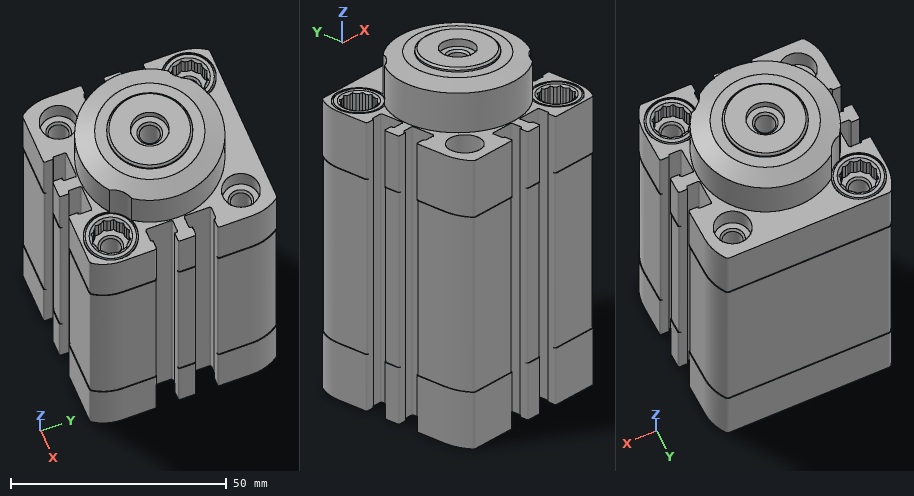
import cadquery as cq
import math

TOTAL_HEIGHT = 89.0
BODY_HEIGHT = 76.0
CAP_HEIGHT = 14.95
BARREL_HEIGHT = BODY_HEIGHT - 2 * CAP_HEIGHT

HALF_WIDTH = 23.5
BARREL_INSET = 0.2
SCREW_OFFSET = 16.3
SIDE_ARC_RADIUS = 12.0
CORNER_ROUND = 1.1

RIB_FOOT_HALF = 2.2
RIB_NECK_HALF = 1.4
LIP_OFFSET = 7.65
CHANNEL_WALL_OFFSET = 8.2
LIP_THICKNESS = 2.4
CHANNEL_FLOOR = 17.7
CHANNEL_ROUND = 0.45
CHANNEL_SIDES = (0, -90, 180)

SCREW_HOLE = 4.9
SCREW_HOLE_RIM = 6.0
COUNTERBORE = 9.0
COUNTERBORE_DEPTH = 5.1
SCREW_HEAD = 12.8
HEAD_BEVEL = 0.45
SOCKET_FLATS = 8.0
SOCKET_DRILL = 8.5
SOCKET_DEPTH = 5.1
SOCKET_RIM = 10.1
SOCKET_RIM_ANGLE = math.radians(30)
POINT_ANGLE = 30
HEXAGON_SIDES = 6

COLLAR_DIAMETER = 35.0
COLLAR_TOP_DIAMETER = 25.6
COLLAR_TOP = 88.0
COLLAR_EDGE = 86.4

ROD_DIAMETER = 20.0
ROD_BOTTOM = CAP_HEIGHT
ROD_CHAMFER = 0.5
ROD_RECESS_DEPTH = 2.0
ROD_HOLE_DEPTH = 14.2
DRILL_TIP_ANGLE = 118.0

SOCKET_CORNERS = [(-SCREW_OFFSET, SCREW_OFFSET), (SCREW_OFFSET, -SCREW_OFFSET)]
COUNTERBORE_CORNERS = [(-SCREW_OFFSET, -SCREW_OFFSET), (SCREW_OFFSET, SCREW_OFFSET)]


def body_block(inset, bottom, height):
    """Square block whose X sides curve in towards the Y faces."""
    half = HALF_WIDTH - inset
    radius = SIDE_ARC_RADIUS - inset
    arc_center = HALF_WIDTH - SIDE_ARC_RADIUS
    arc_end = arc_center + math.sqrt(radius**2 - (half - SCREW_OFFSET) ** 2)
    return (
        cq.Workplane("XY", origin=(0, 0, bottom))
        .moveTo(-arc_end, -half)
        .lineTo(arc_end, -half)
        .radiusArc((half, -SCREW_OFFSET), -radius)
        .lineTo(half, SCREW_OFFSET)
        .radiusArc((arc_end, half), -radius)
        .lineTo(-arc_end, half)
        .radiusArc((-half, SCREW_OFFSET), -radius)
        .lineTo(-half, -SCREW_OFFSET)
        .radiusArc((-arc_end, -half), -radius)
        .close()
        .extrude(height)
        .edges("|Z and (<Y or >Y)")
        .fillet(CORNER_ROUND - inset)
    )


def channel(face, bottom, height):
    """Undercut channel beside the rib on the +X side, with its mouth rounded at x = face."""
    plane = cq.Workplane("XY", origin=(0, 0, bottom))
    ledge = HALF_WIDTH - LIP_THICKNESS
    chamber = (
        plane.moveTo(CHANNEL_FLOOR, RIB_NECK_HALF)
        .lineTo(ledge, RIB_NECK_HALF)
        .lineTo(ledge, CHANNEL_WALL_OFFSET)
        .lineTo(CHANNEL_FLOOR, CHANNEL_WALL_OFFSET)
        .close()
        .extrude(height)
        .edges("|Z")
        .fillet(CHANNEL_ROUND)
    )
    throat = (CHANNEL_FLOOR + ledge) / 2
    round_start = face - CHANNEL_ROUND
    mouth = (
        plane.moveTo(throat, RIB_FOOT_HALF)
        .lineTo(round_start, RIB_FOOT_HALF)
        .radiusArc((face, RIB_FOOT_HALF - CHANNEL_ROUND), CHANNEL_ROUND)
        .lineTo(face, LIP_OFFSET + CHANNEL_ROUND)
        .radiusArc((round_start, LIP_OFFSET), CHANNEL_ROUND)
        .lineTo(throat, LIP_OFFSET)
        .close()
        .extrude(height)
    )
    return chamber.union(mouth)


def body_section(inset, bottom, height):
    """One length of the body, with a pair of channels on the -X, -Y and +X sides."""
    section = body_block(inset, bottom, height)
    one_channel = channel(HALF_WIDTH - inset, bottom, height)
    pair = one_channel.union(one_channel.mirror("XZ"))
    for side in CHANNEL_SIDES:
        section = section.cut(pair.rotate((0, 0, 0), (0, 0, 1), side))
    return section


def turned(points):
    """Solid turned about the Z axis from a closed (radius, height) outline."""
    return cq.Workplane("XZ").polyline(points).close().revolve(360, (0, 0), (0, 1))


def cone_frustum(bottom_diameter, top_diameter, bottom, top):
    """Upright cone frustum on the Z axis."""
    return turned([(0, bottom), (bottom_diameter / 2, bottom), (top_diameter / 2, top), (0, top)])


def collar():
    """Round collar with a conical shoulder."""
    return turned(
        [
            (0, BODY_HEIGHT),
            (COLLAR_DIAMETER / 2, BODY_HEIGHT),
            (COLLAR_DIAMETER / 2, COLLAR_EDGE),
            (COLLAR_TOP_DIAMETER / 2, COLLAR_TOP),
            (0, COLLAR_TOP),
        ]
    )


def cylinder(diameter, bottom, top):
    """Upright cylinder on the Z axis."""
    return cq.Workplane("XY", origin=(0, 0, bottom)).circle(diameter / 2).extrude(top - bottom)


def screw_hole(rim_height):
    """Through hole, countersunk where it meets the floor at rim_height."""
    countersink_depth = (SCREW_HOLE_RIM - SCREW_HOLE) / 2
    rim = cone_frustum(SCREW_HOLE, SCREW_HOLE_RIM, rim_height - countersink_depth, rim_height)
    return cylinder(SCREW_HOLE, 0, rim_height).union(rim)


def counterbored_hole():
    """Screw hole at the bottom of a plain counterbore."""
    floor = BODY_HEIGHT - COUNTERBORE_DEPTH
    return screw_hole(floor).union(cylinder(COUNTERBORE, floor, BODY_HEIGHT))


def socket_hole():
    """Screw hole below a drilled twelve-point socket with a countersunk mouth."""
    floor = BODY_HEIGHT - SOCKET_DEPTH
    across_corners = SOCKET_FLATS / math.cos(math.pi / HEXAGON_SIDES)
    hexagon = (
        cq.Workplane("XY", origin=(0, 0, floor))
        .polygon(HEXAGON_SIDES, across_corners)
        .extrude(SOCKET_DEPTH)
    )
    rim_depth = (SOCKET_RIM - SOCKET_FLATS) / 2 * math.tan(SOCKET_RIM_ANGLE)
    rim = cone_frustum(SOCKET_FLATS, SOCKET_RIM, BODY_HEIGHT - rim_depth, BODY_HEIGHT)
    twelve_point = hexagon.union(hexagon.rotate((0, 0, 0), (0, 0, 1), POINT_ANGLE))
    drill = cylinder(SOCKET_DRILL, floor, BODY_HEIGHT)
    return screw_hole(floor).union(twelve_point).union(drill).union(rim)


def head_groove():
    """V-groove formed by the bevelled rim of a flush screw head."""
    ring = cylinder(SCREW_HEAD, BODY_HEIGHT - HEAD_BEVEL, BODY_HEIGHT)
    head = cone_frustum(
        SCREW_HEAD, SCREW_HEAD - 2 * HEAD_BEVEL, BODY_HEIGHT - HEAD_BEVEL, BODY_HEIGHT
    )
    return ring.cut(head)


def make_housing():
    """Body with end caps, barrel, collar, corner holes and the bore for the rod."""
    housing = body_section(0, 0, CAP_HEIGHT)
    housing = housing.union(body_section(BARREL_INSET, CAP_HEIGHT, BARREL_HEIGHT))
    housing = housing.union(body_section(0, CAP_HEIGHT + BARREL_HEIGHT, CAP_HEIGHT))
    housing = housing.union(collar())
    for x, y in SOCKET_CORNERS:
        collar_notch = cylinder(SCREW_HEAD, BODY_HEIGHT, COLLAR_TOP)
        for cutter in (collar_notch, head_groove(), socket_hole()):
            housing = housing.cut(cutter.translate((x, y, 0)))
    for x, y in COUNTERBORE_CORNERS:
        housing = housing.cut(counterbored_hole().translate((x, y, 0)))
    return housing.cut(cylinder(ROD_DIAMETER, ROD_BOTTOM, COLLAR_TOP))


def make_rod():
    """Chamfered rod with a recessed, drilled hole in its top end."""
    rod = cylinder(ROD_DIAMETER, ROD_BOTTOM, TOTAL_HEIGHT).faces(">Z").edges().chamfer(ROD_CHAMFER)
    recess_floor = TOTAL_HEIGHT - ROD_RECESS_DEPTH
    hole_bottom = recess_floor - ROD_HOLE_DEPTH
    countersink_depth = (SCREW_HOLE_RIM - SCREW_HOLE) / 2
    tip_depth = SCREW_HOLE / 2 / math.tan(math.radians(DRILL_TIP_ANGLE / 2))
    hole = turned(
        [
            (0, hole_bottom - tip_depth),
            (SCREW_HOLE / 2, hole_bottom),
            (SCREW_HOLE / 2, recess_floor - countersink_depth),
            (SCREW_HOLE_RIM / 2, recess_floor),
            (COUNTERBORE / 2, recess_floor),
            (COUNTERBORE / 2, TOTAL_HEIGHT),
            (0, TOTAL_HEIGHT),
        ]
    )
    return rod.cut(hole)


housing = make_housing()
rod = make_rod()
result = cq.Compound.makeCompound([housing.val(), rod.val()])